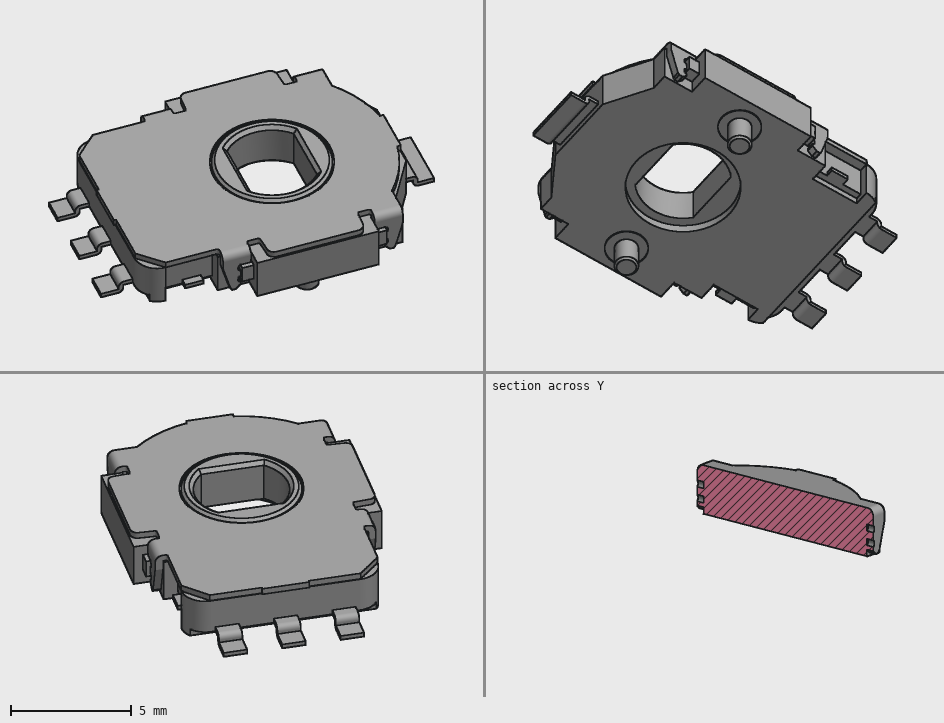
import cadquery as cq

BODY_TOP = 1.86
COVER_TOP = 2.14
ROTOR_TOP = 2.23
FOOT_BOTTOM = -0.05
PIN_BOTTOM = -1.26

WING_HALF_X = 5.3
WING_HALF_Y = 2.7
BLOCK_HALF_X = 4.37
BLOCK_HALF_Y = 4.1
REAR_Y = 5.3
REAR_HALF_X = 1.66
SHOULDER_X = 3.62
FRONT_Y = -7.33
FRONT_HALF_X = 4.19
CORNER_RADIUS = 1.0

SIDE_WALL_X = 3.77
SIDE_UNDERCUT_X = 3.5
CORNER_POST_Y = FRONT_Y + CORNER_RADIUS
FRONT_UNDERCUT_HALF_X = 4.0
FRONT_UNDERCUT_Y = -6.95

COVER_ARC_RADIUS = 5.27
COVER_REAR_Y = 5.33
COVER_SHOULDER_Y = 3.99
COVER_FRONT_Y = -7.3
COVER_FRONT_LIP_Y = -7.39
COVER_LIP_HALF_X = 1.0
COVER_CORNER_CHAMFER = 0.97
COVER_WING_X = 5.22
COVER_WING_ROOT_Y = 2.17
COVER_WING_TIP_Y = 2.11
COVER_WING_RADIUS = 0.31
RELIEF_RADIUS = 0.1

HOOK_OUTER_X = 4.71
HOOK_INNER_Y = 2.74
HOOK_BEND_RADIUS = 0.32
HOOK_BOTTOM = 0.14
HOOK_TIP_START_Y = 3.42
HOOK_TIP_END_Y = 3.59
HOOK_TAPER_TOP = 1.45
HOOK_TAPER_END_Y = 3.65
HOOK_TAPER_BOTTOM = 0.23
MOUTH_TOP = 1.43
MOUTH_GROOVE_Y = 3.33
MOUTH_GROOVE_HEIGHT = 0.34
MOUTH_TOOTH_BOTTOM = 0.8
MOUTH_BOTTOM = 0.35
NUB_OUTER_X = 4.9
NUB_END_Y = 3.2
NUB_BOTTOM = 0.65
NUB_TOP = 1.4

ROTOR_DIAMETER = 5.0
ROTOR_TOP_DIAMETER = 4.75
CLEARANCE_DIAMETER = 5.15
CLEARANCE_BOTTOM = 2.08
BORE_DIAMETER = 3.99
BORE_FLAT_WIDTH = 2.95
BORE_CHAMFER = 0.17
RECESS_DIAMETER = 4.77
RECESS_DEPTH = 0.4

LEAD_THICKNESS = 0.2
LEAD_TOP = 0.52
LEAD_BEND_RADIUS = 0.25
LEAD_WIDTH = 1.0
LEAD_PITCH = 2.5
LEAD_STEP_Y = -7.95
LEAD_END_Y = -8.73
TAB_WIDTH = 2.68
TAB_STEP_Y = 5.95
TAB_END_Y = 6.67
LEAD_UNDERSIDE = LEAD_TOP - LEAD_THICKNESS
LUG_X = 4.11
LUG_FRONT_Y = -5.44
LUG_LENGTH = 0.82

PIN_X = 4.0
PIN_DIAMETER = 1.0
PIN_TIP_CHAMFER = 0.1
PIN_PAD_DIAMETER = 1.8


def box(x_min, x_max, y_min, y_max, z_min, z_max):
    """Axis-aligned block given by its limits."""
    size = (x_max - x_min, y_max - y_min, z_max - z_min)
    return cq.Workplane("XY").box(*size, centered=False).translate((x_min, y_min, z_min))


def with_mirror(shape, plane="YZ"):
    """The shape together with its mirror image."""
    return shape.union(shape.mirror(plane))


def make_housing():
    rear = (
        cq.Workplane("XY")
        .polyline([
            (-BLOCK_HALF_X, -BLOCK_HALF_Y),
            (BLOCK_HALF_X, -BLOCK_HALF_Y),
            (BLOCK_HALF_X, BLOCK_HALF_Y),
            (SHOULDER_X, BLOCK_HALF_Y),
            (REAR_HALF_X, REAR_Y),
            (-REAR_HALF_X, REAR_Y),
            (-SHOULDER_X, BLOCK_HALF_Y),
            (-BLOCK_HALF_X, BLOCK_HALF_Y),
        ])
        .close()
        .extrude(BODY_TOP)
    )
    wings = box(-WING_HALF_X, WING_HALF_X, -WING_HALF_Y, WING_HALF_Y, 0, BODY_TOP)
    front = box(-FRONT_HALF_X, FRONT_HALF_X, FRONT_Y, 0, 0, BODY_TOP)
    front = front.edges("|Z and <Y").fillet(CORNER_RADIUS)

    side_span = (CORNER_POST_Y, -BLOCK_HALF_Y)
    side_recess = box(SIDE_WALL_X, FRONT_HALF_X, *side_span, 0, BODY_TOP)
    side_undercut = box(SIDE_UNDERCUT_X, FRONT_HALF_X, *side_span, 0, LEAD_UNDERSIDE)
    front = front.cut(with_mirror(side_recess.union(side_undercut)))
    front = front.cut(box(
        -FRONT_UNDERCUT_HALF_X, FRONT_UNDERCUT_HALF_X, FRONT_Y, FRONT_UNDERCUT_Y, 0, LEAD_UNDERSIDE
    ))
    return rear.union(wings).union(front)


def make_cover():
    arc_lip_y = (COVER_ARC_RADIUS**2 - COVER_LIP_HALF_X**2) ** 0.5
    arc_end_x = (COVER_ARC_RADIUS**2 - COVER_SHOULDER_Y**2) ** 0.5
    right_half = (
        cq.Workplane("XY")
        .moveTo(0, COVER_REAR_Y)
        .lineTo(COVER_LIP_HALF_X, COVER_REAR_Y)
        .lineTo(COVER_LIP_HALF_X, arc_lip_y)
        .radiusArc((arc_end_x, COVER_SHOULDER_Y), COVER_ARC_RADIUS)
        .lineTo(BLOCK_HALF_X, COVER_SHOULDER_Y)
        .lineTo(BLOCK_HALF_X, HOOK_INNER_Y)
        .lineTo(FRONT_HALF_X, HOOK_INNER_Y)
        .lineTo(FRONT_HALF_X, COVER_WING_ROOT_Y)
        .lineTo(COVER_WING_X, COVER_WING_TIP_Y)
        .lineTo(COVER_WING_X, -COVER_WING_TIP_Y)
        .lineTo(FRONT_HALF_X, -COVER_WING_ROOT_Y)
        .lineTo(FRONT_HALF_X, -HOOK_INNER_Y)
        .lineTo(BLOCK_HALF_X, -HOOK_INNER_Y)
        .lineTo(BLOCK_HALF_X, -COVER_SHOULDER_Y)
        .lineTo(FRONT_HALF_X, -COVER_SHOULDER_Y)
        .lineTo(FRONT_HALF_X, COVER_FRONT_Y + COVER_CORNER_CHAMFER)
        .lineTo(FRONT_HALF_X - COVER_CORNER_CHAMFER, COVER_FRONT_Y)
        .lineTo(COVER_LIP_HALF_X, COVER_FRONT_Y)
        .lineTo(COVER_LIP_HALF_X, COVER_FRONT_LIP_Y)
        .lineTo(0, COVER_FRONT_LIP_Y)
        .close()
        .extrude(COVER_TOP - BODY_TOP)
        .translate((0, 0, BODY_TOP))
    )
    right_half = right_half.edges("|Z and >X").fillet(COVER_WING_RADIUS)
    relief_zone = cq.selectors.BoxSelector(
        (FRONT_HALF_X - RELIEF_RADIUS, -BLOCK_HALF_Y, 0),
        (FRONT_HALF_X + RELIEF_RADIUS, BLOCK_HALF_Y, COVER_TOP),
    )
    right_half = right_half.edges("|Z").edges(relief_zone).fillet(RELIEF_RADIUS)
    return with_mirror(right_half)


def make_hooks():
    """Four hooks with a tapered back edge and a mouth that grips the nub."""
    hook = (
        cq.Workplane("YZ")
        .moveTo(HOOK_INNER_Y, COVER_TOP)
        .lineTo(HOOK_INNER_Y, MOUTH_TOP)
        .lineTo(NUB_END_Y, MOUTH_TOP)
        .threePointArc(
            (MOUTH_GROOVE_Y, MOUTH_TOP - MOUTH_GROOVE_HEIGHT / 2),
            (NUB_END_Y, MOUTH_TOP - MOUTH_GROOVE_HEIGHT),
        )
        .lineTo(NUB_END_Y, MOUTH_TOOTH_BOTTOM)
        .threePointArc(
            (MOUTH_GROOVE_Y, MOUTH_TOOTH_BOTTOM - MOUTH_GROOVE_HEIGHT / 2),
            (NUB_END_Y, MOUTH_TOOTH_BOTTOM - MOUTH_GROOVE_HEIGHT),
        )
        .lineTo(NUB_END_Y, MOUTH_BOTTOM)
        .lineTo(HOOK_TIP_START_Y, HOOK_BOTTOM)
        .lineTo(HOOK_TIP_END_Y, HOOK_BOTTOM)
        .lineTo(HOOK_TAPER_END_Y, HOOK_TAPER_BOTTOM)
        .lineTo(COVER_SHOULDER_Y, HOOK_TAPER_TOP)
        .lineTo(COVER_SHOULDER_Y, COVER_TOP)
        .close()
        .extrude(HOOK_OUTER_X - BLOCK_HALF_X)
        .translate((BLOCK_HALF_X, 0, 0))
        .edges("|Y and >X and >Z")
        .fillet(HOOK_BEND_RADIUS)
    )
    nub = box(BLOCK_HALF_X, NUB_OUTER_X, WING_HALF_Y, NUB_END_Y, NUB_BOTTOM, NUB_TOP)
    return with_mirror(with_mirror(hook.union(nub)), "XZ")


def make_rotor():
    edge_chamfer = (ROTOR_DIAMETER - ROTOR_TOP_DIAMETER) / 2
    return (
        cq.Workplane("XY")
        .circle(ROTOR_DIAMETER / 2)
        .extrude(ROTOR_TOP)
        .faces(">Z")
        .chamfer(edge_chamfer)
    )


def make_bore():
    """Round bore with two flats, flared at the top and opening into a round recess below."""
    bore = cq.Workplane("XY").circle(BORE_DIAMETER / 2).extrude(ROTOR_TOP)
    flats = box(
        -BORE_DIAMETER, BORE_DIAMETER, -BORE_FLAT_WIDTH / 2, BORE_FLAT_WIDTH / 2, 0, ROTOR_TOP
    )
    flare = (
        cq.Workplane("XY", origin=(0, 0, ROTOR_TOP - BORE_CHAMFER))
        .circle(BORE_DIAMETER / 2)
        .workplane(offset=BORE_CHAMFER)
        .circle(BORE_DIAMETER / 2 + BORE_CHAMFER)
        .loft(ruled=True)
    )
    flare_flats = (
        cq.Workplane("XY", origin=(0, 0, ROTOR_TOP - BORE_CHAMFER))
        .rect(2 * BORE_DIAMETER, BORE_FLAT_WIDTH)
        .workplane(offset=BORE_CHAMFER)
        .rect(2 * BORE_DIAMETER, BORE_FLAT_WIDTH + 2 * BORE_CHAMFER)
        .loft(ruled=True)
    )
    recess = cq.Workplane("XY").circle(RECESS_DIAMETER / 2).extrude(RECESS_DEPTH)
    return bore.intersect(flats).union(flare.intersect(flare_flats)).union(recess)


def make_lead(x_center, width, root_y, step_y, end_y):
    """Gull-wing strip running from the housing down to a flat foot."""
    outward = 1 if end_y > root_y else -1
    inner_step_y = step_y - outward * LEAD_THICKNESS
    foot_top = FOOT_BOTTOM + LEAD_THICKNESS
    strip = (
        cq.Workplane("YZ")
        .polyline([
            (root_y, LEAD_TOP),
            (step_y, LEAD_TOP),
            (step_y, foot_top),
            (end_y, foot_top),
            (end_y, FOOT_BOTTOM),
            (inner_step_y, FOOT_BOTTOM),
            (inner_step_y, LEAD_UNDERSIDE),
            (root_y, LEAD_UNDERSIDE),
        ])
        .close()
        .extrude(width / 2, both=True)
    )
    outer_bends = [(step_y, LEAD_TOP), (inner_step_y, FOOT_BOTTOM)]
    for bend_y, bend_z in outer_bends:
        bend = cq.selectors.NearestToPointSelector((0, bend_y, bend_z))
        strip = strip.edges("|X").edges(bend).fillet(LEAD_BEND_RADIUS)
    return strip.translate((x_center, 0, 0))


def make_leads():
    leads = make_lead(0, TAB_WIDTH, BLOCK_HALF_Y, TAB_STEP_Y, TAB_END_Y)
    for column in (-1, 0, 1):
        leads = leads.union(
            make_lead(column * LEAD_PITCH, LEAD_WIDTH, FRONT_UNDERCUT_Y, LEAD_STEP_Y, LEAD_END_Y)
        )
    lug = box(
        SIDE_UNDERCUT_X, LUG_X, LUG_FRONT_Y, LUG_FRONT_Y + LUG_LENGTH, LEAD_UNDERSIDE, LEAD_TOP
    )
    return leads.union(with_mirror(lug))


def make_pins():
    pad = cq.Workplane("XY").circle(PIN_PAD_DIAMETER / 2).extrude(FOOT_BOTTOM)
    pin = (
        cq.Workplane("XY")
        .circle(PIN_DIAMETER / 2)
        .extrude(PIN_BOTTOM)
        .faces("<Z")
        .chamfer(PIN_TIP_CHAMFER)
    )
    return with_mirror(pad.union(pin).translate((PIN_X, 0, 0)))


clearance = (
    cq.Workplane("XY", origin=(0, 0, CLEARANCE_BOTTOM))
    .circle(CLEARANCE_DIAMETER / 2)
    .extrude(COVER_TOP - CLEARANCE_BOTTOM)
)

result = (
    make_housing()
    .union(make_cover())
    .union(make_hooks())
    .cut(clearance)
    .union(make_rotor())
    .cut(make_bore())
    .union(make_leads())
    .union(make_pins())
)